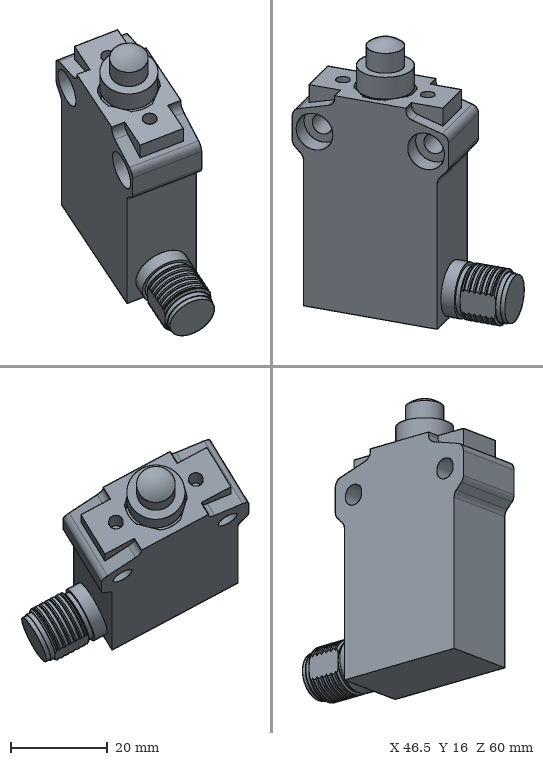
import cadquery as cq
import math

body_width = 30.0
depth = 16.0
housing_height = 49.0
ear_width = 35.05
ear_chamfer_top = 36.5
shoulder_half_width = 8.0
shoulder_drop = 2.05
shoulder_slope = 16.0
outline_radius = 2.0

block_depth = 10.0
block_height = 5.4
screw_spacing = 19.0
screw_diameter = 3.0
screw_depth = 6.0

mount_spacing = 25.0
mount_height = 40.0
mount_diameter = 4.5
counterbore_diameter = 8.2
counterbore_depth = 4.2

collar_diameter = 12.0
collar_top = 54.0
stem_diameter = 8.0
stem_top = 58.5
plunger_top = 60.0
well_diameter = 13.0
well_depth = 5.4
well_flat_angle = 45.0

connector_axis_height = 6.0
flange_radius = 6.0
neck_radius = 5.35
insert_radius = 5.15
flange_end = 18.0
thread_start = 19.0
thread_end = 27.0
neck_end = 28.0
insert_end = 29.0
thread_chamfer_length = 0.35
thread_chamfer_rise = 0.5
groove_count = 6
groove_pitch = 1.25
groove_width = 0.6
groove_depth = 0.2
first_groove = 19.75


def make_plate():
    """Extrude the eared outline across the full depth, with its corners rounded."""
    half_body = body_width / 2
    half_ear = ear_width / 2
    ear_chamfer = half_ear - half_body
    shoulder_z = housing_height - shoulder_drop
    ear_top = shoulder_z - (half_ear - shoulder_half_width) * math.tan(math.radians(shoulder_slope))
    right_side = [
        (half_body, 0),
        (half_body, ear_chamfer_top - ear_chamfer),
        (half_ear, ear_chamfer_top),
        (half_ear, ear_top),
        (shoulder_half_width, shoulder_z),
        (shoulder_half_width, housing_height),
    ]
    left_side = [(-x, z) for x, z in reversed(right_side)]
    plate = (
        cq.Workplane("XZ")
        .polyline(right_side + left_side)
        .close()
        .extrude(depth / 2, both=True)
    )
    margin = 0.6
    rounded_zone = cq.selectors.BoxSelector(
        (-ear_width, -depth, margin),
        (ear_width, depth, housing_height - margin),
    )
    return plate.edges("|Y").edges(rounded_zone).fillet(outline_radius)


def make_well():
    """Round well under the plunger, with four diagonal flats level with the plunger collar."""
    floor = cq.Workplane("XY", origin=(0, 0, housing_height - well_depth))
    disc = floor.circle(well_diameter / 2).extrude(well_depth)
    diamond = (
        floor.transformed(rotate=(0, 0, well_flat_angle))
        .rect(collar_diameter, collar_diameter)
        .extrude(well_depth)
    )
    return disc.intersect(diamond)


def make_housing():
    block = (
        cq.Workplane("XY", origin=(0, 0, housing_height))
        .rect(body_width, block_depth)
        .extrude(-block_height)
    )
    housing = make_plate().union(block)
    for side in (-1, 1):
        screw_hole = (
            cq.Workplane("XY", origin=(side * screw_spacing / 2, 0, housing_height))
            .circle(screw_diameter / 2)
            .extrude(-screw_depth)
        )
        mount = cq.Workplane("XZ", origin=(side * mount_spacing / 2, -depth / 2, mount_height))
        mount_hole = mount.circle(mount_diameter / 2).extrude(-depth)
        counterbore = mount.circle(counterbore_diameter / 2).extrude(-counterbore_depth)
        housing = housing.cut(screw_hole).cut(mount_hole).cut(counterbore)
    return housing.cut(make_well())


def make_plunger():
    """Stepped round plunger with a spherical cap; its collar closes the well in the housing."""
    collar_radius = collar_diameter / 2
    stem_radius = stem_diameter / 2
    cap_height = plunger_top - stem_top
    cap_radius = (stem_radius**2 + cap_height**2) / (2 * cap_height)
    cap_mid_x = stem_radius / 2
    cap_mid_z = plunger_top - cap_radius + math.sqrt(cap_radius**2 - cap_mid_x**2)
    return (
        cq.Workplane("XZ")
        .moveTo(0, housing_height)
        .lineTo(collar_radius, housing_height)
        .lineTo(collar_radius, collar_top)
        .lineTo(stem_radius, collar_top)
        .lineTo(stem_radius, stem_top)
        .threePointArc((cap_mid_x, cap_mid_z), (0, plunger_top))
        .close()
        .revolve(360, (0, 0), (0, 1))
    )


def connector_cylinder(start, end, radius):
    return (
        cq.Workplane("YZ", origin=(start, 0, connector_axis_height))
        .circle(radius)
        .extrude(end - start)
    )


def make_thread():
    """Chamfered, grooved barrel with a flat on its -Y and +Y sides, tangent to the neck."""
    end_radius = flange_radius - thread_chamfer_rise
    profile = [
        (thread_start, 0),
        (thread_start, end_radius),
        (thread_start + thread_chamfer_length, flange_radius),
    ]
    for index in range(groove_count):
        centre = first_groove + index * groove_pitch
        profile += [
            (centre - groove_width / 2, flange_radius),
            (centre, flange_radius - groove_depth),
            (centre + groove_width / 2, flange_radius),
        ]
    profile += [
        (thread_end - thread_chamfer_length, flange_radius),
        (thread_end, end_radius),
        (thread_end, 0),
    ]
    barrel = (
        cq.Workplane("XY", origin=(0, 0, connector_axis_height))
        .polyline(profile)
        .close()
        .revolve(360, (0, 0), (1, 0))
    )
    between_flats = cq.Workplane("XY", origin=(0, 0, connector_axis_height)).box(
        2 * neck_end, 2 * neck_radius, 2 * flange_radius
    )
    return barrel.intersect(between_flats)


def make_connector():
    flange = connector_cylinder(body_width / 2, flange_end, flange_radius)
    neck = connector_cylinder(flange_end, neck_end, neck_radius)
    return flange.union(neck).union(make_thread())


def make_insert():
    """Plain disc on the end face of the connector."""
    return connector_cylinder(neck_end, insert_end, insert_radius)


housing = make_housing()
plunger = make_plunger()
connector = make_connector()
insert = make_insert()

result = cq.Compound.makeCompound(
    [housing.val(), plunger.val(), connector.val(), insert.val()]
)